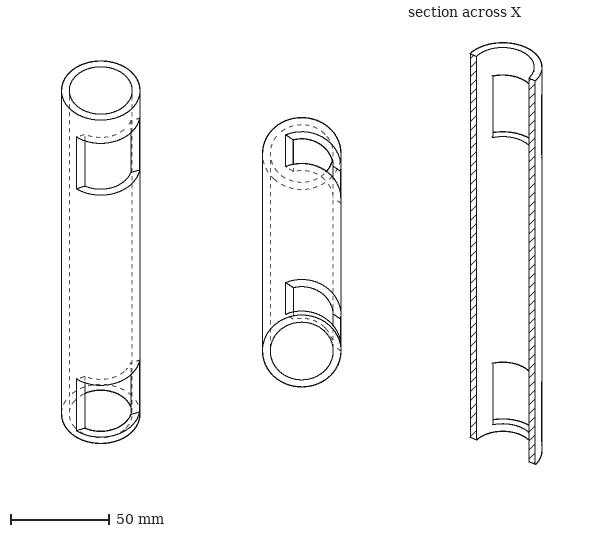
import cadquery as cq

length = 250.0
outer_diameter = 40.0
inner_diameter = 32.0

window_height = 40.0
window_face_x = 10.0
bottom_margin = 5.0
top_margin = 18.0


def tube():
    return (
        cq.Workplane("XY")
        .circle(outer_diameter / 2)
        .circle(inner_diameter / 2)
        .extrude(length)
    )


def window_cutter(bottom_z):
    """Block removing everything beyond the flat cut face, over one window height."""
    return (
        cq.Workplane("XY")
        .box(outer_diameter, 2 * outer_diameter, window_height, centered=(False, True, False))
        .translate((window_face_x, 0, bottom_z))
    )


lower_window_z = bottom_margin
upper_window_z = length - top_margin - window_height

result = tube()
for window_z in (lower_window_z, upper_window_z):
    result = result.cut(window_cutter(window_z))